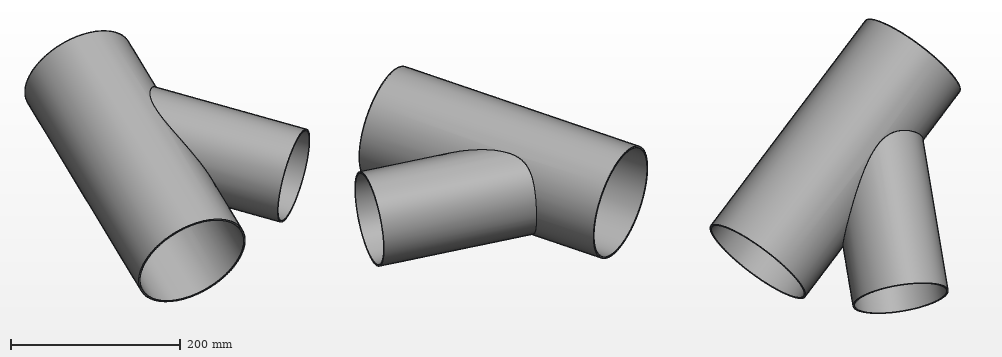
import cadquery as cq
import math

run_length = 312.0
run_outer_diameter = 139.8
run_inner_diameter = 135.7
inlet_to_crossing = 86.5

branch_outer_diameter = 114.2
branch_inner_diameter = 110.5
branch_length = 231.0
branch_angle = math.radians(45)


def run_cylinder(diameter):
    """Solid cylinder over the full length of the main pipe."""
    inlet = cq.Workplane("YZ", origin=(-inlet_to_crossing, 0, 0))
    return inlet.circle(diameter / 2).extrude(run_length)


def branch_cylinder(diameter):
    """Solid cylinder from the axis crossing to the square-cut end of the branch."""
    direction = (math.cos(branch_angle), math.sin(branch_angle), 0)
    crossing = cq.Plane(origin=(0, 0, 0), xDir=(0, 0, 1), normal=direction)
    return cq.Workplane(crossing).circle(diameter / 2).extrude(branch_length)


outer_body = run_cylinder(run_outer_diameter).union(branch_cylinder(branch_outer_diameter))

result = outer_body.cut(run_cylinder(run_inner_diameter)).cut(branch_cylinder(branch_inner_diameter))